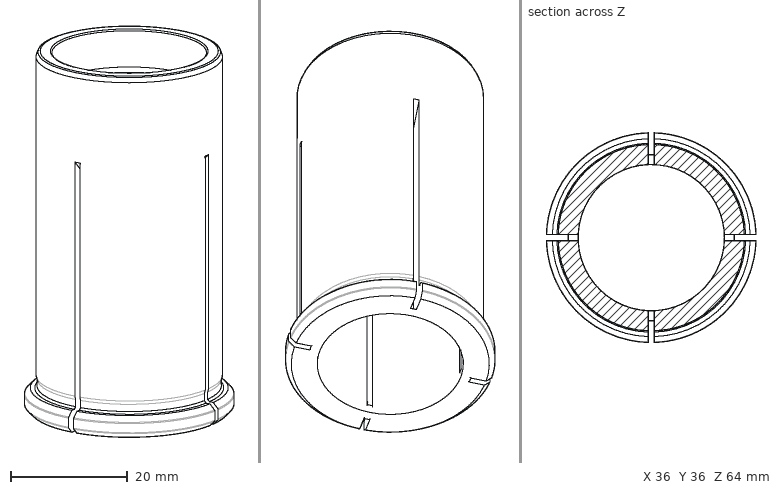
import cadquery as cq
import math

length = 64.0
body_radius = 32.0 / 2
bore_radius = 25.0 / 2

counterbore_radius = 26.5 / 2
counterbore_depth = 6.7
shoulder_drop = counterbore_radius - bore_radius
mouth_chamfer = 0.25

lead_in_height = 0.95
lead_in_inset = lead_in_height * math.tan(math.radians(20))
rim_bevel_width = 0.4
rim_bevel_drop = 0.1

flange_radius = 36.0 / 2
flange_height = 3.9
flange_chamfer = 1.0
flange_edge_round = 0.25

neck_radius = 15.8
neck_foot = 0.4
neck_top = 5.6
neck_run_out = 0.65

slit_count = 4
slit_width = 1.0
slit_top = 48.0
sill_height = 1.7
slit_overrun = 3.2


def make_sleeve():
    """Revolve the wall section, drawn as (radius, height), around Z."""
    shoulder_top = length - counterbore_depth
    lead_in_radius = body_radius - lead_in_inset
    section = [
        (bore_radius, 0),
        (flange_radius - flange_chamfer, 0),
        (flange_radius, flange_chamfer),
        (flange_radius, flange_height - flange_chamfer),
        (flange_radius - flange_chamfer, flange_height),
        (neck_radius + neck_foot, flange_height),
        (neck_radius, flange_height + neck_foot),
        (neck_radius, neck_top),
        (body_radius, neck_top + neck_run_out),
        (body_radius, length - lead_in_height),
        (lead_in_radius, length - rim_bevel_drop),
        (lead_in_radius - rim_bevel_width, length),
        (counterbore_radius + mouth_chamfer, length),
        (counterbore_radius, length - mouth_chamfer),
        (counterbore_radius, shoulder_top),
        (bore_radius, shoulder_top - shoulder_drop),
    ]
    return cq.Workplane("XZ").polyline(section).close().revolve(360, (0, 0), (0, 1))


def round_flange_edges(sleeve):
    """Soften the two edges where the flange rim meets its chamfers."""
    tolerance = 0.05
    reach = flange_radius + tolerance
    rim_edges = cq.selectors.BoxSelector(
        (-reach, -reach, flange_chamfer - tolerance),
        (reach, reach, flange_height - flange_chamfer + tolerance),
        boundingbox=True,
    )
    rims = sleeve.edges("%CIRCLE").edges(rim_edges)
    return rims.fillet(flange_edge_round)


def make_slit():
    """Slit cutter on the +X side, its ends widening outwards."""
    inner = bore_radius - slit_overrun
    outer = flange_radius + slit_overrun
    profile = [
        (inner, sill_height + slit_overrun),
        (bore_radius, sill_height),
        (outer, sill_height - (outer - bore_radius)),
        (outer, slit_top + outer - body_radius),
        (inner, slit_top + inner - body_radius),
    ]
    return cq.Workplane("XZ").polyline(profile).close().extrude(slit_width / 2, both=True)


result = round_flange_edges(make_sleeve())
slit = make_slit()
for index in range(slit_count):
    angle = index * 360 / slit_count
    result = result.cut(slit.rotate((0, 0, 0), (0, 0, 1), angle))